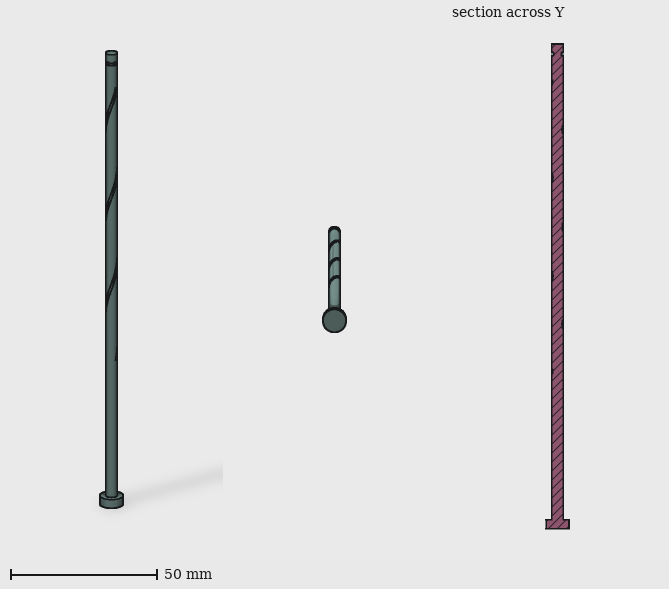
import cadquery as cq

total_length = 165.8
foot_diameter = 8.0
foot_height = 3.2
shaft_diameter = 4.0

head_height = 3.0
neck_height = 1.0
neck_diameter = 2.8

groove_length = 100.0
groove_turns = 3
groove_pitch = groove_length / groove_turns
plain_shaft_length = 50.0
groove_start_z = foot_height + plain_shaft_length
groove_width = 0.8
groove_depth = 0.3

head_bottom_z = total_length - head_height
shaft_top_z = head_bottom_z - neck_height
shaft_radius = shaft_diameter / 2


def turned_body():
    """Foot, shaft, neck and head revolved about Z; the profile lies on the -X side."""
    foot_radius = foot_diameter / 2
    neck_radius = neck_diameter / 2
    profile = [
        (0, 0),
        (-foot_radius, 0),
        (-foot_radius, foot_height),
        (-shaft_radius, foot_height),
        (-shaft_radius, shaft_top_z),
        (-neck_radius, shaft_top_z),
        (-neck_radius, head_bottom_z),
        (-shaft_radius, head_bottom_z),
        (-shaft_radius, total_length),
        (0, total_length),
    ]
    return cq.Workplane("XZ").polyline(profile).close().revolve(360, (0, 0), (0, 1))


def groove_cutter():
    """Rectangular section, square to the helix, swept along it at the shaft surface."""
    helix = cq.Wire.makeHelix(groove_pitch, groove_length, shaft_radius)
    section_plane = cq.Plane(
        origin=helix.startPoint().toTuple(),
        xDir=(1, 0, 0),
        normal=helix.tangentAt(0).toTuple(),
    )
    cutter = (
        cq.Workplane(section_plane)
        .rect(2 * groove_depth, groove_width)
        .sweep(cq.Workplane(helix), isFrenet=True)
    )
    return cutter.translate((0, 0, groove_start_z))


result = turned_body().cut(groove_cutter())